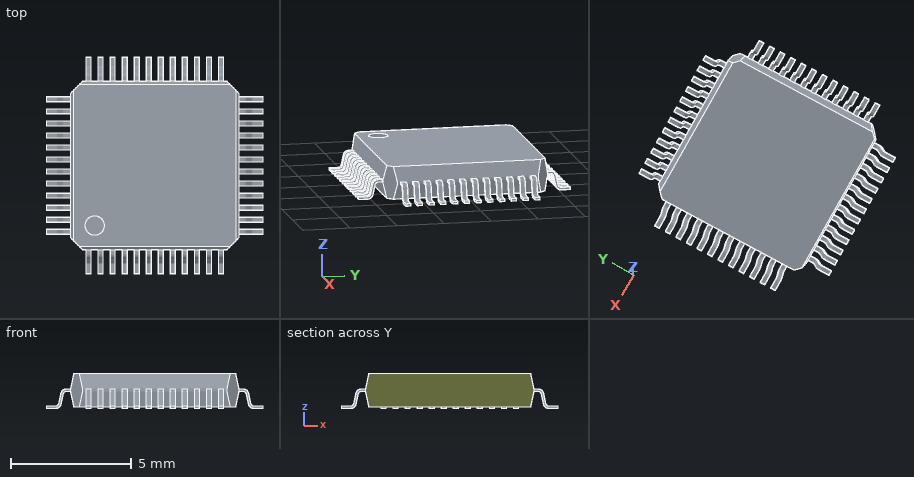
import cadquery as cq
import math

tip_span = 9.0
total_height = 1.46
standoff = 0.06

body_width = 7.0
taper_angle = 12.0
corner_cut = 0.5

leads_per_side = 12
row_span = 5.5
lead_width = 0.22
lead_thickness = 0.11
foot_length = 0.38
lead_embed = 0.18
shoulder_radius = 0.17
heel_radius = 0.19
lean_angle = math.radians(12)

mark_diameter = 0.8
mark_offset = 2.49
mark_depth = 0.17

body_height = total_height - standoff
mid_height = standoff + body_height / 2
taper_height = (body_height - lead_thickness) / 2
band_bottom = mid_height - lead_thickness / 2
band_top = mid_height + lead_thickness / 2
pitch = row_span / (leads_per_side - 1)


def make_body():
    """Square block tapering up and down from a mid-height band, with cut corners."""
    band = (
        cq.Workplane("XY", origin=(0, 0, band_bottom))
        .rect(body_width, body_width)
        .extrude(lead_thickness)
    )
    upper = (
        cq.Workplane("XY", origin=(0, 0, band_top))
        .rect(body_width, body_width)
        .extrude(taper_height, taper=taper_angle)
    )
    lower = upper.mirror("XY", (0, 0, mid_height))
    corner_envelope = (
        cq.Workplane("XY")
        .rect(body_width, body_width)
        .extrude(total_height)
        .edges("|Z")
        .chamfer(corner_cut)
    )
    return band.union(upper).union(lower).intersect(corner_envelope)


def on_bend(center, radius, angle):
    """Point on a bend, with the angle measured from the +X direction."""
    return (center[0] + radius * math.cos(angle), center[1] + radius * math.sin(angle))


def make_lead():
    """Gull-wing lead on the +X side, centred on Y = 0."""
    upper_inner = shoulder_radius - lead_thickness / 2
    upper_outer = shoulder_radius + lead_thickness / 2
    lower_inner = heel_radius - lead_thickness / 2
    lower_outer = heel_radius + lead_thickness / 2
    tip = tip_span / 2
    root = body_width / 2 - lead_embed

    lower_center = (tip - foot_length, lower_outer)
    upper_z = band_top - upper_outer
    rise = upper_z - lower_center[1]
    run = (shoulder_radius + heel_radius + rise * math.sin(lean_angle)) / math.cos(lean_angle)
    upper_center = (lower_center[0] - run, upper_z)

    shank_upper = lean_angle
    shank_lower = math.pi + lean_angle
    up = math.pi / 2
    down = 3 * math.pi / 2
    middle_upper = (up + shank_upper) / 2
    middle_lower = (down + shank_lower) / 2

    profile = (
        cq.Workplane("XZ", origin=(0, lead_width / 2, 0))
        .moveTo(root, band_top)
        .lineTo(*on_bend(upper_center, upper_outer, up))
        .threePointArc(
            on_bend(upper_center, upper_outer, middle_upper),
            on_bend(upper_center, upper_outer, shank_upper),
        )
        .lineTo(*on_bend(lower_center, lower_inner, shank_lower))
        .threePointArc(
            on_bend(lower_center, lower_inner, middle_lower),
            on_bend(lower_center, lower_inner, down),
        )
        .lineTo(tip, lead_thickness)
        .lineTo(tip, 0)
        .lineTo(*on_bend(lower_center, lower_outer, down))
        .threePointArc(
            on_bend(lower_center, lower_outer, middle_lower),
            on_bend(lower_center, lower_outer, shank_lower),
        )
        .lineTo(*on_bend(upper_center, upper_inner, shank_upper))
        .threePointArc(
            on_bend(upper_center, upper_inner, middle_upper),
            on_bend(upper_center, upper_inner, up),
        )
        .lineTo(root, band_bottom)
        .close()
    )
    return profile.extrude(lead_width)


def make_all_leads():
    """A row of leads on each of the four sides."""
    lead = make_lead()
    leads = cq.Workplane("XY")
    for side in range(4):
        for index in range(leads_per_side):
            along_row = index * pitch - row_span / 2
            placed = lead.translate((0, along_row, 0)).rotate((0, 0, 0), (0, 0, 1), 90 * side)
            leads = leads.add(placed)
    return leads.combine()


def make_pin_one_mark():
    """Shallow round recess in the top face near the -X, -Y corner."""
    return (
        cq.Workplane("XY", origin=(-mark_offset, -mark_offset, total_height - mark_depth))
        .circle(mark_diameter / 2)
        .extrude(mark_depth)
    )


result = make_body().union(make_all_leads()).cut(make_pin_one_mark())